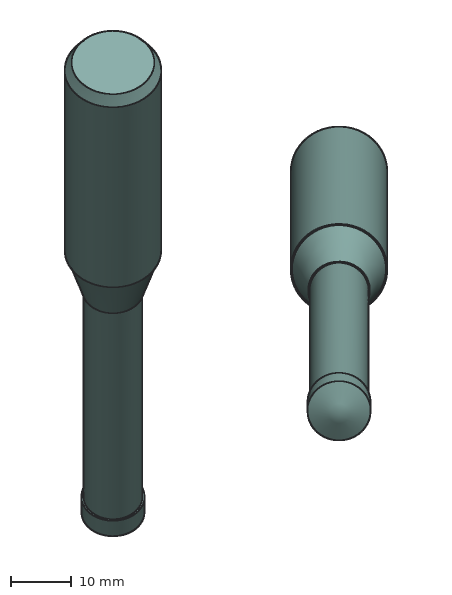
import cadquery as cq
import math

TOTAL_LENGTH = 116.9

HEAD_DIAMETER = 10.4
POINT_ANGLE = 140.0
HEAD_TOP = 5.8

NECK_DIAMETER = 9.7
SHANK_DIAMETER = 15.9
SHANK_LENGTH = 48.0
TAPER_LENGTH = 10.0
TAPER_TOP_DIAMETER = 15.4
TAPER_BOTTOM_DIAMETER = 10.2
CHAMFER_LENGTH = 2.0
CHAMFER_ANGLE = 30.0

head_radius = HEAD_DIAMETER / 2
neck_radius = NECK_DIAMETER / 2
shank_radius = SHANK_DIAMETER / 2
taper_top_radius = TAPER_TOP_DIAMETER / 2
taper_bottom_radius = TAPER_BOTTOM_DIAMETER / 2
point_height = head_radius / math.tan(math.radians(POINT_ANGLE / 2))
shank_bottom = TOTAL_LENGTH - SHANK_LENGTH
taper_bottom = shank_bottom - TAPER_LENGTH
chamfer_width = CHAMFER_LENGTH * math.tan(math.radians(CHAMFER_ANGLE))


def revolve_profile(points):
    """Revolve a closed (radius, height) profile about the Z axis."""
    return cq.Workplane("XZ").polyline(points).close().revolve(360, (0, 0, 0), (0, 1, 0))


def make_cutting_head():
    """Short cylinder with a conical drill point at the bottom."""
    return revolve_profile([
        (0, 0),
        (head_radius, point_height),
        (head_radius, HEAD_TOP),
        (0, HEAD_TOP),
    ])


def make_holder():
    """Slim neck, then a taper with a small ledge at each end, then the chamfered shank."""
    return revolve_profile([
        (0, HEAD_TOP),
        (neck_radius, HEAD_TOP),
        (neck_radius, taper_bottom),
        (taper_bottom_radius, taper_bottom),
        (taper_top_radius, shank_bottom),
        (shank_radius, shank_bottom),
        (shank_radius, TOTAL_LENGTH - CHAMFER_LENGTH),
        (shank_radius - chamfer_width, TOTAL_LENGTH),
        (0, TOTAL_LENGTH),
    ])


cutting_head = make_cutting_head()
holder = make_holder()

result = cq.Compound.makeCompound([cutting_head.val(), holder.val()])